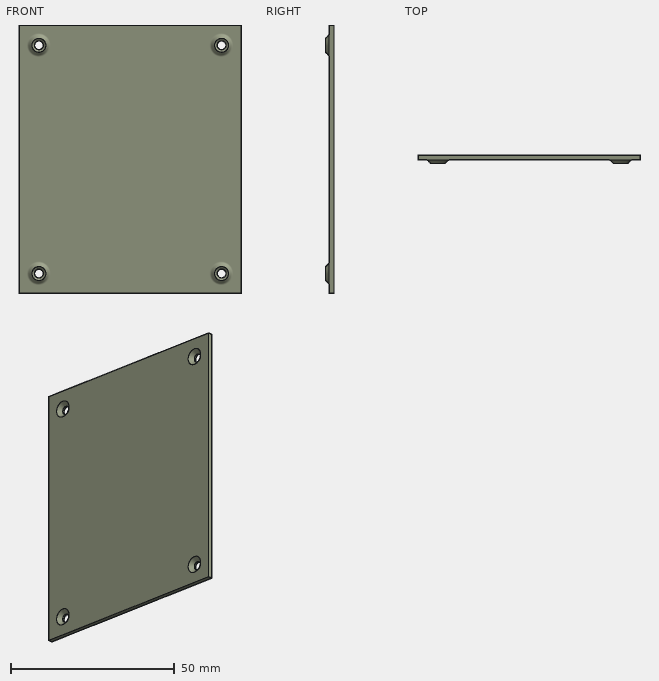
import cadquery as cq
import math

width = 68.1
height = 82.0
plate_thickness = 1.5
total_depth = 2.6

hole_inset = 6.1
hole_radius = 1.3
crest_radius = 2.1
base_fillet_radius = 0.8
flare_depth = 0.65
back_sink_radius = 2.6
back_sink_depth = 1.3

cone_angle = math.radians(45)
cone_foot_radius = crest_radius + (total_depth - plate_thickness) / math.tan(cone_angle)
base_radius = cone_foot_radius + base_fillet_radius * math.tan(cone_angle / 2)


def seat_point(radius, distance_from_back):
    """Point in the XY half-plane of a seat; the seat rises toward -Y."""
    return (radius, -distance_from_back)


def base_fillet_point(angle):
    return seat_point(
        base_radius - base_fillet_radius * math.sin(angle),
        plate_thickness + base_fillet_radius * (1 - math.cos(angle)),
    )


def revolve_about_y(profile):
    return profile.close().revolve(360, (0, 0, 0), (0, 1, 0))


def make_seat():
    """Round boss, rooted in the plate."""
    profile = (
        cq.Workplane("XY")
        .moveTo(0, 0)
        .lineTo(base_radius, 0)
        .lineTo(*seat_point(base_radius, plate_thickness))
        .threePointArc(base_fillet_point(cone_angle / 2), base_fillet_point(cone_angle))
        .lineTo(*seat_point(crest_radius, total_depth))
        .lineTo(*seat_point(0, total_depth))
    )
    return revolve_about_y(profile)


def make_hole():
    """Through hole that flares conically to the seat crest and to the back face."""
    profile = (
        cq.Workplane("XY")
        .moveTo(0, 0)
        .lineTo(back_sink_radius, 0)
        .lineTo(*seat_point(hole_radius, back_sink_depth))
        .lineTo(*seat_point(hole_radius, total_depth - flare_depth))
        .lineTo(*seat_point(crest_radius, total_depth))
        .lineTo(*seat_point(0, total_depth))
    )
    return revolve_about_y(profile)


result = cq.Workplane("XY").box(width, plate_thickness, height).translate((0, -plate_thickness / 2, 0))

for x_side in (-1, 1):
    for z_side in (-1, 1):
        center = (
            x_side * (width / 2 - hole_inset),
            0,
            z_side * (height / 2 - hole_inset),
        )
        result = result.union(make_seat().translate(center))
        result = result.cut(make_hole().translate(center))